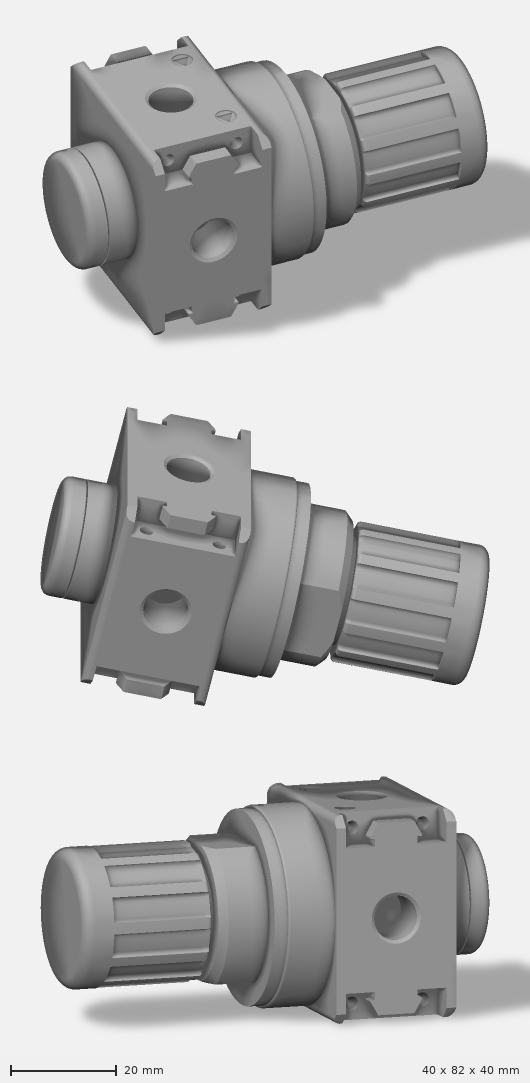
import cadquery as cq
import math


body_width = 40.0
body_length = 23.95
body_corner_chamfer = 2.1
body_edge_radius = 1.5

overall_length = 82.0
body_end = body_length / 2
button_end = -22.0
button_groove_y = -17.8
collar_end = 21.2
flange_end = 23.9
nut_end = 33.3
knob_start = 34.5
flute_end = 54.0
knob_end = button_end + overall_length

button_diameter = 23.0
button_fillet = 1.55
button_groove_diameter = 20.3
button_groove_width = 0.3
collar_diameter = 38.5
flange_diameter = 37.5
collar_fillet = 0.4
nut_diameter = 30.1
nut_flats = 26.1
nut_chamfer = 1.55
neck_diameter = 21.0
knob_diameter = 27.0
knob_end_fillet = 2.05
knob_start_fillet = 0.7

flute_count = 12
flute_floor_radius = 12.55
flute_floor_width = 3.3
flute_width = 4.9
flute_wall_height = 0.7

port_diameter = 8.5
port_chamfer_width = 0.65
port_chamfer_depth = 0.5
port_depth = 9.8

mount_length = 20.1
mount_height = 6.1
mount_depth = 5.3
tongue_thickness = 2.9
tongue_inset = 1.55
tongue_tip_width = 7.2
tongue_wide_width = 10.25
tongue_neck_width = 8.5
tongue_flare_height = 2.6
tongue_edge_height = 0.3
pin_hole_spacing = 14.1
pin_hole_z = 16.9
pin_hole_diameter = 2.6
pin_hole_tip_diameter = 0.8
pin_hole_depth = 2.5

arrow_diameter = 4.1
arrow_triangle_diameter = 3.9
arrow_disc_depth = 0.25
arrow_triangle_depth = 0.5
arrow_y = 7.05
arrow_left_x = -10.75
arrow_spacing = 20.5


def turned(diameter, start, end):
    """Cylinder about the Y axis between two Y stations."""
    return cq.Workplane("XZ", origin=(0, start, 0)).circle(diameter / 2).extrude(start - end)


def body_block():
    block = cq.Workplane("XY").box(body_width, body_length, body_width)
    block = block.edges("|Y").chamfer(body_corner_chamfer)
    block = block.faces(">Z").edges("|X").fillet(body_edge_radius)
    return block.faces("<Z").edges("|X").fillet(body_edge_radius)


def button():
    blank = turned(button_diameter, button_end, -body_end)
    blank = blank.faces("<Y").edges().fillet(button_fillet)
    groove_start = button_groove_y - button_groove_width / 2
    groove_end = button_groove_y + button_groove_width / 2
    ring = turned(button_diameter, groove_start, groove_end)
    return blank.cut(ring.cut(turned(button_groove_diameter, groove_start, groove_end)))


def bonnet():
    collar = turned(collar_diameter, body_end, collar_end).faces(">Y").edges().fillet(collar_fillet)
    flange = turned(flange_diameter, body_end, flange_end)
    nut = turned(nut_diameter, flange_end, nut_end).faces(">Y").chamfer(nut_chamfer)
    flats = cq.Workplane("XY").box(nut_diameter, 2 * nut_end, nut_flats)
    neck = turned(neck_diameter, nut_end, knob_start)
    return collar.union(flange).union(nut.intersect(flats)).union(neck)


def knob():
    grip = turned(knob_diameter, knob_start, knob_end)
    grip = grip.faces(">Y").edges().fillet(knob_end_fillet)
    grip = grip.faces("<Y").edges().fillet(knob_start_fillet)
    half_floor = flute_floor_width / 2
    half_width = flute_width / 2
    half_angle = math.asin(half_floor / flute_floor_radius)
    floor_edge = flute_floor_radius * math.cos(half_angle)
    floor_middle = (
        flute_floor_radius * math.sin(half_angle / 2),
        flute_floor_radius * math.cos(half_angle / 2),
    )
    flute = (
        cq.Workplane("XZ", origin=(0, knob_start, 0))
        .moveTo(0, flute_floor_radius)
        .threePointArc(floor_middle, (half_floor, floor_edge))
        .tangentArcPoint((half_width, floor_edge + flute_wall_height), relative=False)
        .lineTo(half_width, knob_diameter / 2)
        .lineTo(0, knob_diameter / 2)
        .mirrorY()
        .extrude(knob_start - flute_end)
    )
    pitch = 360 / flute_count
    for index in range(flute_count):
        grip = grip.cut(flute.rotate((0, 0, 0), (0, 1, 0), (index + 0.5) * pitch))
    return grip


def port():
    """Cutter for one blind port with a chamfered mouth, entering from +Z."""
    half = body_width / 2
    bore_radius = port_diameter / 2
    return (
        cq.Workplane("XZ")
        .moveTo(0, half)
        .lineTo(bore_radius + port_chamfer_width, half)
        .lineTo(bore_radius, half - port_chamfer_depth)
        .lineTo(bore_radius, half - port_depth)
        .lineTo(0, half - port_depth)
        .close()
        .revolve(360, (0, 0), (0, 1))
    )


def mount_pocket():
    """Cutter for the pocket and pin holes of the mount at the -X, +Z corner."""
    half = body_width / 2
    cutter = cq.Workplane("XY").box(mount_depth, mount_length, mount_height, centered=(False, True, False))
    cutter = cutter.translate((-half, 0, half - mount_height))
    for side in (-1, 1):
        pin_hole = cq.Solid.makeCone(
            pin_hole_diameter / 2,
            pin_hole_tip_diameter / 2,
            pin_hole_depth,
            pnt=cq.Vector(mount_depth - half, side * pin_hole_spacing / 2, pin_hole_z),
            dir=cq.Vector(1, 0, 0),
        )
        cutter = cutter.union(cq.Workplane(pin_hole))
    return cutter


def mount_tongue():
    """Dovetail tongue standing on the pocket floor at the -X, +Z corner."""
    half = body_width / 2
    floor_z = half - mount_height
    tip_z = half - tongue_inset
    flare_z = tip_z - tongue_flare_height
    neck_z = flare_z - tongue_edge_height
    return (
        cq.Workplane("YZ", origin=(-half, 0, 0))
        .moveTo(0, floor_z)
        .lineTo(tongue_neck_width / 2, floor_z)
        .lineTo(tongue_neck_width / 2, neck_z)
        .lineTo(tongue_wide_width / 2, neck_z)
        .lineTo(tongue_wide_width / 2, flare_z)
        .lineTo(tongue_tip_width / 2, tip_z)
        .lineTo(0, tip_z)
        .mirrorY()
        .extrude(tongue_thickness)
    )


def at_four_corners(shape):
    """The shape together with its mirror images in the XY and YZ planes."""
    left_pair = shape.union(shape.mirror("XY"))
    return left_pair.union(left_pair.mirror("YZ"))


def flow_arrow(x):
    """Cutter for a round recess that has a deeper triangle in it, pointing to +X."""
    radius = arrow_diameter / 2
    plane = cq.Workplane("XY", origin=(x, arrow_y, body_width / 2))
    disc = plane.circle(radius).extrude(-arrow_disc_depth)
    triangle = plane.polygon(3, arrow_triangle_diameter).extrude(-arrow_triangle_depth)
    return disc.union(triangle)


body = body_block()
for quarter in range(4):
    body = body.cut(port().rotate((0, 0, 0), (0, 1, 0), quarter * 90))

body = body.cut(at_four_corners(mount_pocket()))
body = body.union(at_four_corners(mount_tongue()))

for arrow_x in (arrow_left_x, arrow_left_x + arrow_spacing):
    body = body.cut(flow_arrow(arrow_x))

result = body.union(button()).union(bonnet()).union(knob())